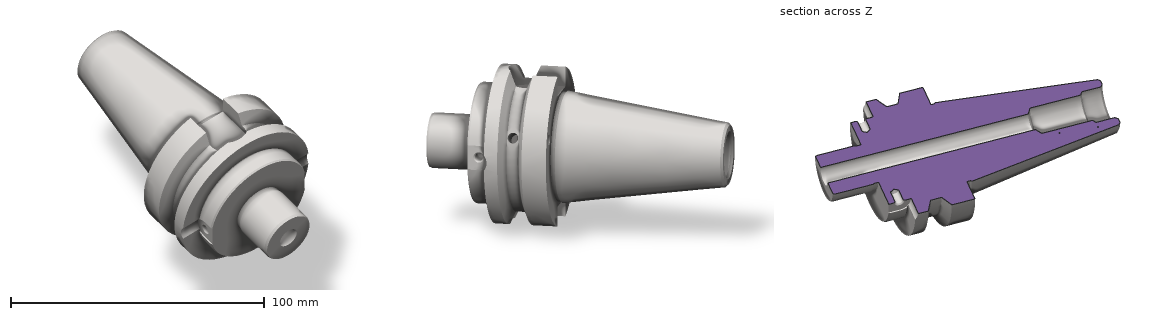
import cadquery as cq
import math

TOTAL_LENGTH = 119.4
TAPER_END = 65.4
FLANGE_START = 67.2
GROOVE_MOUTH_START = 77.0
GROOVE_FLOOR_START = 79.5
GROOVE_FLOOR_END = 84.0
GROOVE_MOUTH_END = 86.8
FLANGE_END = 92.2
COLLAR_START = 92.9
COLLAR_END = 100.4
NECK_END = 102.0
SPIGOT_START = 102.9

TAPER_LARGE_DIA = 44.4
TAPER_RATIO = 7 / 24
TAPER_NECK_DIA = 43.5
FLANGE_DIA = 63.0
GROOVE_DIA = 52.9
COLLAR_DIA = 48.0
COLLAR_UNDERCUT_DIA = 46.8
SPIGOT_NECK_DIA = 21.4
SPIGOT_DIA = 22.0

TAPER_EDGE = 1.0
TAPER_RELIEF_LENGTH = 0.5
COLLAR_EDGE = 0.7
SPIGOT_EDGE_LENGTH = 1.2
SPIGOT_EDGE_DEPTH = 0.4

THROUGH_DIA = 8.5
BORE_DIA = 17.0
BORE_MOUTH_CHAMFER = 1.1
BORE_DEPTH = 9.0
THREAD_DIA = 14.0
THREAD_START = 9.9
THREAD_END = 31.0
DRILL_HALF_ANGLE = 59.0

SLOT_WIDTH = 16.1
SLOT_END = 88.4
SLOT_FLOOR = 22.5

FLAT_WIDTH = 9.7
FLAT_FLOOR = 23.0
FLAT_CENTER_X = 95.9
SCREW_HOLE_DIA = 3.2
SCREW_MOUTH_DIA = 4.2
SCREW_HOLE_DEPTH = 6.0

COOLANT_DIA = 4.2
COOLANT_FACE_RADIUS = 26.9
COOLANT_ANGLE = 20.0
COOLANT_SLANT = 31.0
COOLANT_RADIAL_X = (GROOVE_FLOOR_START + GROOVE_FLOOR_END) / 2


def drill_tip(diameter, end_diameter=0.0):
    """Length of a drill-point cone between two diameters."""
    return (diameter - end_diameter) / 2 / math.tan(math.radians(DRILL_HALF_ANGLE))


def revolve_x(sections):
    """Solid of revolution about X through (x, diameter) pairs."""
    profile = [(x, diameter / 2) for x, diameter in sections]
    points = [(profile[0][0], 0)] + profile + [(profile[-1][0], 0)]
    return cq.Workplane("XY").polyline(points).close().revolve(360, (0, 0, 0), (1, 0, 0))


def turned_body():
    taper_start_dia = TAPER_LARGE_DIA - TAPER_RATIO * (TAPER_END - TAPER_EDGE)
    return revolve_x([
        (0, taper_start_dia - 2 * TAPER_EDGE),
        (TAPER_EDGE, taper_start_dia),
        (TAPER_END, TAPER_LARGE_DIA),
        (TAPER_END + TAPER_RELIEF_LENGTH, TAPER_NECK_DIA),
        (FLANGE_START, TAPER_NECK_DIA),
        (FLANGE_START, FLANGE_DIA),
        (GROOVE_MOUTH_START, FLANGE_DIA),
        (GROOVE_FLOOR_START, GROOVE_DIA),
        (GROOVE_FLOOR_END, GROOVE_DIA),
        (GROOVE_MOUTH_END, FLANGE_DIA),
        (FLANGE_END, FLANGE_DIA),
        (FLANGE_END, COLLAR_UNDERCUT_DIA),
        (COLLAR_START, COLLAR_UNDERCUT_DIA),
        (COLLAR_START, COLLAR_DIA),
        (COLLAR_END - COLLAR_EDGE, COLLAR_DIA),
        (COLLAR_END, COLLAR_DIA - COLLAR_EDGE),
        (COLLAR_END, SPIGOT_NECK_DIA),
        (NECK_END, SPIGOT_NECK_DIA),
        (SPIGOT_START, SPIGOT_DIA),
        (TOTAL_LENGTH - SPIGOT_EDGE_LENGTH, SPIGOT_DIA),
        (TOTAL_LENGTH, SPIGOT_DIA - 2 * SPIGOT_EDGE_DEPTH),
    ])


def axial_bore():
    return revolve_x([
        (0, BORE_DIA + 2 * BORE_MOUTH_CHAMFER),
        (BORE_MOUTH_CHAMFER, BORE_DIA),
        (BORE_DEPTH, BORE_DIA),
        (THREAD_START, THREAD_DIA),
        (THREAD_END, THREAD_DIA),
        (THREAD_END + drill_tip(THREAD_DIA, THROUGH_DIA), THROUGH_DIA),
        (TOTAL_LENGTH, THROUGH_DIA),
    ])


def drive_slot():
    """Cutter for the +Z slot, open at the taper side and round at the other end."""
    radius = SLOT_WIDTH / 2
    return (
        cq.Workplane("XY", origin=(0, 0, SLOT_FLOOR))
        .moveTo(FLANGE_START, -radius)
        .lineTo(SLOT_END - radius, -radius)
        .threePointArc((SLOT_END, 0), (SLOT_END - radius, radius))
        .lineTo(FLANGE_START, radius)
        .close()
        .extrude(FLANGE_DIA / 2 - SLOT_FLOOR)
    )


def screw_flat():
    """Cutter for the -Y flat, open at the spigot side, with its screw hole."""
    radius = FLAT_WIDTH / 2
    flat = (
        cq.Workplane("XZ", origin=(0, -FLAT_FLOOR, 0))
        .moveTo(COLLAR_END, -radius)
        .lineTo(FLAT_CENTER_X, -radius)
        .threePointArc((FLAT_CENTER_X - radius, 0), (FLAT_CENTER_X, radius))
        .lineTo(COLLAR_END, radius)
        .close()
        .extrude(FLANGE_DIA / 2 - FLAT_FLOOR)
    )
    mouth_depth = (SCREW_MOUTH_DIA - SCREW_HOLE_DIA) / 2
    hole = (
        cq.Workplane("XY", origin=(FLAT_CENTER_X, -FLAT_FLOOR, 0))
        .lineTo(SCREW_MOUTH_DIA / 2, 0)
        .lineTo(SCREW_HOLE_DIA / 2, mouth_depth)
        .lineTo(SCREW_HOLE_DIA / 2, SCREW_HOLE_DEPTH)
        .lineTo(0, SCREW_HOLE_DEPTH + drill_tip(SCREW_HOLE_DIA))
        .close()
        .revolve(360, (0, 0, 0), (0, 1, 0))
    )
    return flat.union(hole)


def coolant_holes():
    """Cutter for the pair of meeting holes on the +Y side."""
    slant = math.radians(COOLANT_SLANT)
    axial_run = COOLANT_RADIAL_X - FLANGE_START
    meeting_radius = COOLANT_FACE_RADIUS - axial_run * math.tan(slant)
    direction = cq.Vector(math.cos(slant), -math.sin(slant), 0)
    face_point = cq.Vector(FLANGE_START, COOLANT_FACE_RADIUS, 0)
    overrun = COOLANT_DIA
    slanted = cq.Solid.makeCylinder(
        COOLANT_DIA / 2,
        axial_run / math.cos(slant) + overrun,
        face_point - direction * overrun,
        direction,
    )
    radial = cq.Solid.makeCylinder(
        COOLANT_DIA / 2,
        FLANGE_DIA / 2 - meeting_radius,
        cq.Vector(COOLANT_RADIAL_X, meeting_radius, 0),
        cq.Vector(0, 1, 0),
    )
    holes = cq.Workplane(slanted).union(cq.Workplane(radial))
    return holes.rotate((0, 0, 0), (1, 0, 0), COOLANT_ANGLE)


result = turned_body().cut(axial_bore())

for cutter in (drive_slot(), screw_flat(), coolant_holes()):
    for turn in (0, 180):
        result = result.cut(cutter.rotate((0, 0, 0), (1, 0, 0), turn))